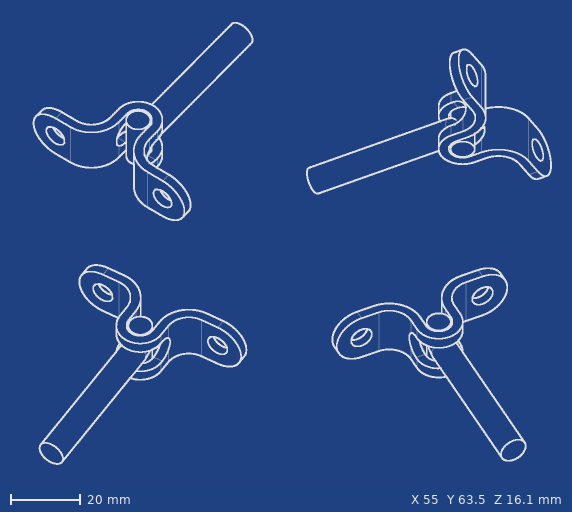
import cadquery as cq


strip_thickness = 3.0
strip_width = 16.0
bracket_length = 55.0
bracket_depth = 21.0
crown_inner_radius = 4.0
crown_outer_radius = crown_inner_radius + strip_thickness
crown_center_y = bracket_depth - crown_outer_radius
bend_inner_radius = 7.0
bend_outer_radius = bend_inner_radius + strip_thickness
bend_center_x = crown_outer_radius + bend_inner_radius
ear_radius = strip_width / 2
hole_diameter = 6.6
hole_x = bracket_length / 2 - ear_radius

slot_width = 8.5
slot_bottom_y = 9.0
slot_center_y = slot_bottom_y + slot_width / 2

cross_bar_diameter = 7.0
cross_bar_length = strip_width
pin_drop = 0.09
rod_diameter = 8.0
rod_end_y = 63.5
neck_length = cross_bar_diameter / 2
rod_start_y = crown_center_y + neck_length


def make_strip():
    """Hat-shaped strip: two flat feet joined by bends to a round crown."""
    half_length = bracket_length / 2
    profile = (
        cq.Workplane("XY")
        .moveTo(-half_length, 0)
        .lineTo(-bend_center_x, 0)
        .radiusArc((-crown_inner_radius, bend_outer_radius), -bend_outer_radius)
        .lineTo(-crown_inner_radius, crown_center_y)
        .radiusArc((crown_inner_radius, crown_center_y), crown_inner_radius)
        .lineTo(crown_inner_radius, bend_outer_radius)
        .radiusArc((bend_center_x, 0), -bend_outer_radius)
        .lineTo(half_length, 0)
        .lineTo(half_length, strip_thickness)
        .lineTo(bend_center_x, strip_thickness)
        .radiusArc((crown_outer_radius, bend_outer_radius), bend_inner_radius)
        .lineTo(crown_outer_radius, crown_center_y)
        .radiusArc((-crown_outer_radius, crown_center_y), -crown_outer_radius)
        .lineTo(-crown_outer_radius, bend_outer_radius)
        .radiusArc((-bend_center_x, strip_thickness), bend_inner_radius)
        .lineTo(-half_length, strip_thickness)
        .close()
    )
    return profile.extrude(strip_width / 2, both=True)


def make_ear_outline():
    """Prism along Y with semicircular ends that rounds the feet."""
    return cq.Workplane("XZ").slot2D(bracket_length, strip_width).extrude(-bracket_depth)


def make_mounting_holes():
    return (
        cq.Workplane("XZ")
        .pushPoints([(-hole_x, 0), (hole_x, 0)])
        .circle(hole_diameter / 2)
        .extrude(-strip_thickness)
    )


def make_rod_slot():
    """Slot across the crown, round at its lower end and open at the top."""
    half_width = slot_width / 2
    return (
        cq.Workplane("YZ")
        .moveTo(bracket_depth, half_width)
        .lineTo(slot_center_y, half_width)
        .threePointArc((slot_bottom_y, 0), (slot_center_y, -half_width))
        .lineTo(bracket_depth, -half_width)
        .close()
        .extrude(bend_center_x, both=True)
    )


def make_bracket():
    rounded_strip = make_strip().intersect(make_ear_outline())
    return rounded_strip.cut(make_mounting_holes()).cut(make_rod_slot())


def make_rod():
    """Rod along Y with a neck that tapers to the cross bar's diameter at its axis."""
    neck_radius = cross_bar_diameter / 2
    rod_radius = rod_diameter / 2
    half_profile = (
        cq.Workplane("XY", origin=(0, 0, -pin_drop))
        .moveTo(0, crown_center_y)
        .lineTo(neck_radius, crown_center_y)
        .lineTo(rod_radius, rod_start_y)
        .lineTo(rod_radius, rod_end_y)
        .lineTo(0, rod_end_y)
        .close()
    )
    return half_profile.revolve(360, (0, 0, 0), (0, 1, 0))


def make_swivel_pin():
    """Cross bar along Z joined to the rod, concentric with the bracket's crown."""
    cross_bar = (
        cq.Workplane("XY", origin=(0, crown_center_y, -pin_drop))
        .circle(cross_bar_diameter / 2)
        .extrude(cross_bar_length / 2, both=True)
    )
    return cross_bar.union(make_rod())


bracket = make_bracket()
swivel_pin = make_swivel_pin()

result = cq.Compound.makeCompound([bracket.solids().val(), swivel_pin.solids().val()])